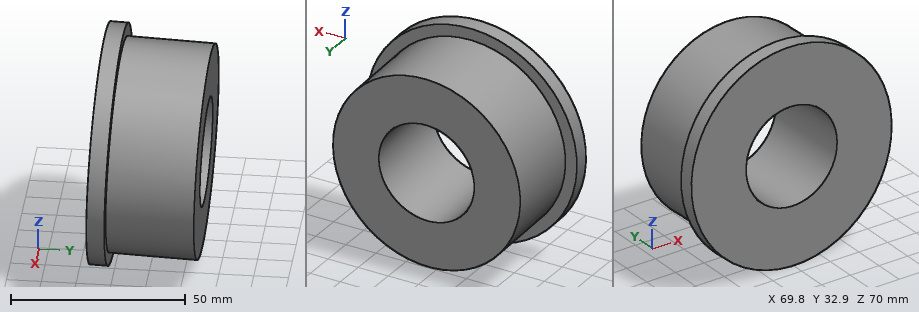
import cadquery as cq

flange_diameter = 69.85
flange_thickness = 5.2
body_diameter = 62.2
bore_diameter = 31.7
total_length = 30.5
tilt_angle = 2.1


def cylinder_along_y(diameter, length):
    """Cylinder that starts at the origin and runs toward +Y."""
    return cq.Workplane("XZ").circle(diameter / 2).extrude(-length)


flange = cylinder_along_y(flange_diameter, flange_thickness)
body = cylinder_along_y(body_diameter, total_length)
bore = cylinder_along_y(bore_diameter, total_length)
bushing = flange.union(body).cut(bore)

result = bushing.rotate((0, 0, 0), (1, 0, 0), -tilt_angle)